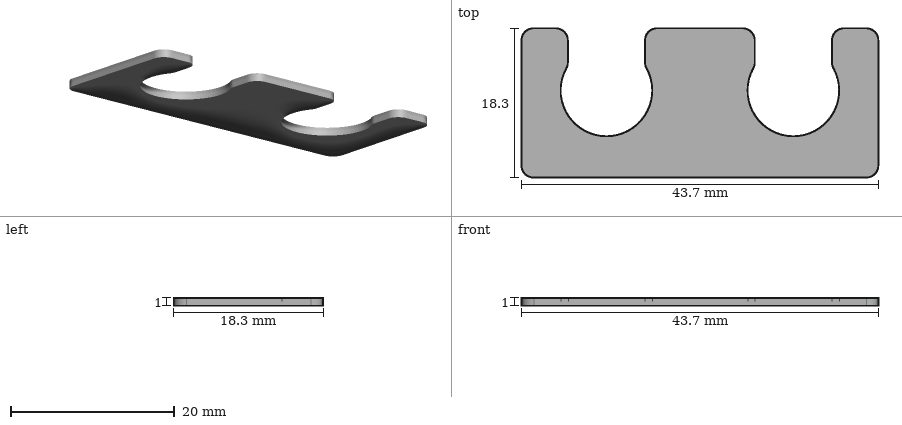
import cadquery as cq
import math

length = 43.688
width = 18.288
thickness = 1.0
edge_radius = 1.524

notch_spacing = 22.86
notch_centre_from_front = 10.668
notch_radius = 5.588
mouth_width = 9.398

notch_centre_y = notch_centre_from_front - width / 2
mouth_length = width - notch_centre_from_front
neck_height = math.sqrt(notch_radius**2 - (mouth_width / 2) ** 2)


def make_plate():
    """Flat rectangular plate resting on Z = 0, centred in X and Y."""
    return cq.Workplane("XY").box(length, width, thickness, centered=(True, True, False))


def make_notch():
    """Cutter for one notch: a round seat with a narrower mouth, seat centred on the origin."""
    seat = cq.Workplane("XY").circle(notch_radius).extrude(thickness)
    mouth = (
        cq.Workplane("XY")
        .center(0, mouth_length / 2)
        .rect(mouth_width, mouth_length)
        .extrude(thickness)
    )
    neck_edges = cq.selectors.BoxSelector(
        (-notch_radius, neck_height / 2, 0),
        (notch_radius, (neck_height + mouth_length) / 2, thickness),
    )
    return seat.union(mouth).edges("|Z").edges(neck_edges).fillet(edge_radius)


def cut_notches(plate):
    """Cut one notch on each side of the plate centre."""
    notch = make_notch()
    for side in (-1, 1):
        plate = plate.cut(notch.translate((side * notch_spacing / 2, notch_centre_y, 0)))
    return plate


def round_corners(plate):
    """Round the plate corners and the mouth corners, all on the front and back sides."""
    return plate.edges("|Z and (<Y or >Y)").fillet(edge_radius)


result = round_corners(cut_notches(make_plate()))